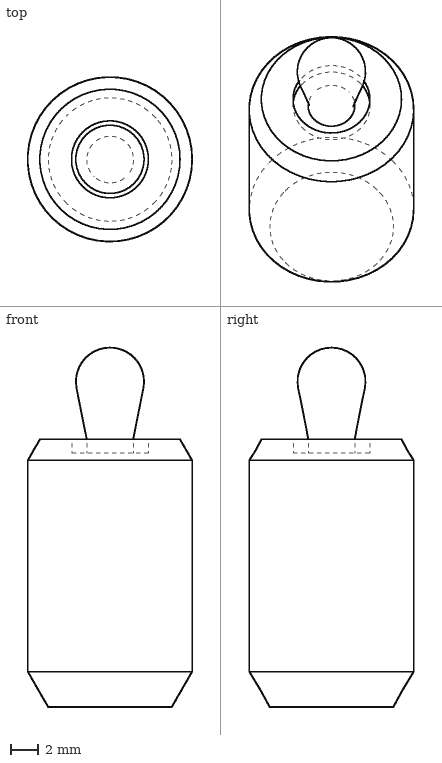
import cadquery as cq
import math

total_height = 26.2
housing_radius = 6.0
housing_height = 19.52
top_bevel_height = 1.55
bottom_bevel_height = 2.6
bevel_angle = math.radians(30)
recess_radius = 2.8
recess_depth = 1.0
ball_radius = 2.5
stem_radius = 1.7

top_face_radius = housing_radius - top_bevel_height * math.tan(bevel_angle)
bottom_face_radius = housing_radius - bottom_bevel_height * math.tan(bevel_angle)
recess_floor = housing_height - recess_depth
ball_center = total_height - ball_radius


def make_housing():
    """Round housing, bevelled at both ends, with a shallow recess in its top face."""
    profile = (
        cq.Workplane("XZ")
        .lineTo(bottom_face_radius, 0)
        .lineTo(housing_radius, bottom_bevel_height)
        .lineTo(housing_radius, housing_height - top_bevel_height)
        .lineTo(top_face_radius, housing_height)
        .lineTo(recess_radius, housing_height)
        .lineTo(recess_radius, recess_floor)
        .lineTo(0, recess_floor)
        .close()
    )
    return profile.revolve(360, (0, 0, 0), (0, 1, 0))


def make_pin():
    """Pin standing on the recess floor: a stem, then a cone that runs tangent into a ball tip."""
    center_rise = ball_center - housing_height
    center_distance = math.hypot(stem_radius, center_rise)
    cone_angle = math.asin(ball_radius / center_distance) - math.atan2(stem_radius, center_rise)
    tangent_radius = ball_radius * math.cos(cone_angle)
    tangent_height = ball_center - ball_radius * math.sin(cone_angle)

    profile = (
        cq.Workplane("XZ")
        .moveTo(0, recess_floor)
        .lineTo(stem_radius, recess_floor)
        .lineTo(stem_radius, housing_height)
        .lineTo(tangent_radius, tangent_height)
        .threePointArc((ball_radius, ball_center), (0, total_height))
        .close()
    )
    return profile.revolve(360, (0, 0, 0), (0, 1, 0))


housing = make_housing()
pin = make_pin()
result = cq.Compound.makeCompound([housing.val(), pin.val()])